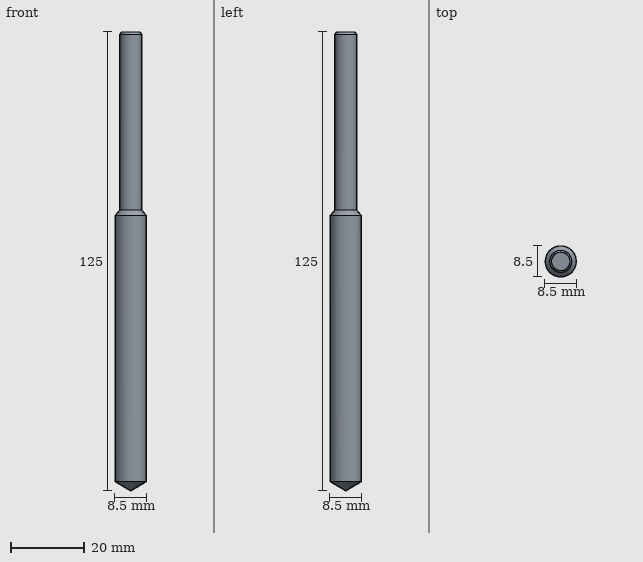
import cadquery as cq
import math

total_length = 125.0
cutter_length = 75.0
cutter_radius = 8.5 / 2
shank_radius = 6.0 / 2

point_angle = 118.0
shank_end_chamfer_width = 0.5
shank_end_chamfer_height = 0.8
shoulder_height = 1.5

point_height = cutter_radius / math.tan(math.radians(point_angle / 2))


def revolve_about_z(profile_points):
    """Turn a closed (radius, height) outline about the Z axis."""
    return (
        cq.Workplane("XZ")
        .polyline(profile_points)
        .close()
        .revolve(360, (0, 0), (0, 1))
    )


def make_cutter():
    """Cylindrical cutting body with a conical point at its lower end."""
    return revolve_about_z([
        (0, 0),
        (cutter_radius, point_height),
        (cutter_radius, cutter_length),
        (0, cutter_length),
    ])


def make_shank():
    """Thin shank with a conical shoulder below and a chamfered upper end."""
    return revolve_about_z([
        (0, cutter_length),
        (cutter_radius, cutter_length),
        (shank_radius, cutter_length + shoulder_height),
        (shank_radius, total_length - shank_end_chamfer_height),
        (shank_radius - shank_end_chamfer_width, total_length),
        (0, total_length),
    ])


cutter = make_cutter()
shank = make_shank()

result = cq.Compound.makeCompound([cutter.val(), shank.val()])